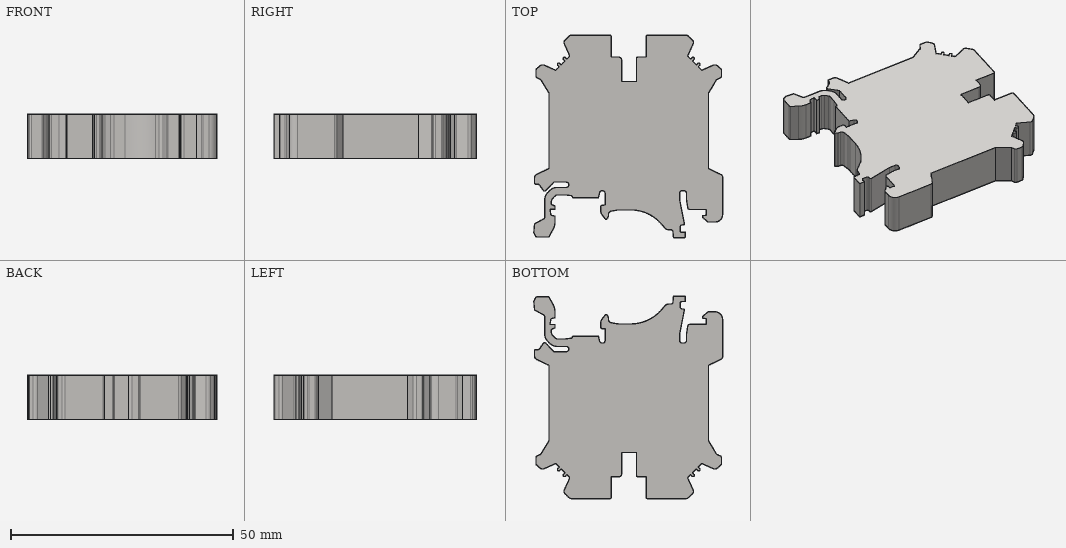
import cadquery as cq
import math

THICKNESS = 10.0
HEIGHT = 45.65

WALL_X = 18.0
WALL_TOP = 32.6
WALL_BOTTOM = 15.6
RIGHT_SIDE_X = 21.2

OPENING_HALF_WIDTH = 3.93
OPENING_FLOOR = 40.7
SLOT_HALF_WIDTH = 1.65
SLOT_CENTER_X = 0.1
SLOT_FLOOR = 35.25
LEFT_LIP_RADIUS = 0.75
RIGHT_LIP_RADIUS = 0.3

SHOULDER_TOP = (13.3, 40.9)
SHOULDER_LENGTH = 4.47
SHOULDER_RUN = SHOULDER_LENGTH * math.sqrt(0.5)
SHOULDER_END = (SHOULDER_TOP[0] + SHOULDER_RUN, SHOULDER_TOP[1] - SHOULDER_RUN)

RIB_WIDTH = 0.65
RIB_REACH = 0.45
RIB_FIRST = 1.25
RIB_PITCH = 1.83

SEAT_LEFT_Y = 9.0
SEAT_RIGHT_Y = 6.35
SLIT_TOP = 10.55
ARCH_Y = 6.25
ARCH_RADIUS = 9.15

ARM_SLOT_TOP = 12.5
ARM_SLOT_BOTTOM = 11.35
ARM_SLOT_RADIUS = 0.55
ARM_OUTER_X = -18.95
ARM_INNER_X = -17.4
ARM_TOOTH_X = -16.55
FOOT_Y = 0.15


def rounded_profile(corners):
    """Closed outline through (x, y[, radius]) corners, each blended by a tangent arc."""
    path = None
    for i, corner in enumerate(corners):
        point = cq.Vector(*corner[:2])
        radius = corner[2] if len(corner) > 2 else 0
        to_previous = (cq.Vector(*corners[i - 1][:2]) - point).normalized()
        to_next = (cq.Vector(*corners[(i + 1) % len(corners)][:2]) - point).normalized()
        half_angle = to_previous.getAngle(to_next) / 2
        setback = radius / math.tan(half_angle)
        start = point + to_previous * setback
        path = path.lineTo(start.x, start.y) if path else cq.Workplane("XY").moveTo(start.x, start.y)
        if radius:
            bisector = (to_previous + to_next).normalized()
            middle = point + bisector * (radius / math.sin(half_angle) - radius)
            end = point + to_next * setback
            path = path.threePointArc((middle.x, middle.y), (end.x, end.y))
    return path.close()


def upper_right(lip_radius, slot_half_width):
    """Top half of one side, from the slot floor outwards and down to the side wall."""
    return [
        (slot_half_width, SLOT_FLOOR),
        (slot_half_width, OPENING_FLOOR, lip_radius),
        (OPENING_HALF_WIDTH, OPENING_FLOOR),
        (OPENING_HALF_WIDTH, HEIGHT, 0.3),
        (13.2, HEIGHT, 0.9),
        (14.75, 44.15, 0.7),
        (*SHOULDER_TOP, 0.27),
        SHOULDER_END,
        (19.55, 39.1, 0.9),
        (20.9, 37.95, 0.45),
        (20.9, 36.1, 0.45),
        (19.8, 35.6),
        (WALL_X, WALL_TOP),
    ]


def mirrored(corners):
    """The same corners on the -X side, in reverse order."""
    return [(-x, *rest) for x, *rest in reversed(corners)]


right_hook = [
    (WALL_X, WALL_BOTTOM),
    (RIGHT_SIDE_X, 14.05, 0.7),
    (RIGHT_SIDE_X, 3.5, 1.8),
    (17.85, 3.5, 0.45),
    (16.55, 4.65, 0.25),
    (16.55, 4.98),
    (17.45, 5.1),
    (17.45, SEAT_RIGHT_Y),
    (13.35, SEAT_RIGHT_Y, 0.55),
    (12.95, 8.7),
    (12.95, SLIT_TOP, 0.45),
]

right_leg = [
    (11.5, SLIT_TOP, 0.45),
    (11.5, 8.55),
    (12.6, 2.9, 0.27),
    (11.65, 2.85, 0.3),
    (11.65, 1.3, 0.25),
    (12.75, 1.3),
    (12.75, 0.0, 0.2),
    (10.05, 0.0, 0.2),
    (9.9, 1.8, 0.45),
    (8.5, 1.8, 1.15),
    (4.65, ARCH_Y, ARCH_RADIUS),
]

left_leg = [
    (-2.35, ARCH_Y, 4.55),
    (-4.47, 5.9, 0.65),
    (-4.55, 4.75, 0.7),
    (-5.05, 3.95, 0.25),
    (-6.35, 5.55, 1.83),
    (-6.35, 7.35, 0.45),
    (-5.35, 7.4),
    (-5.35, SLIT_TOP, 0.5),
    (-6.45, SLIT_TOP, 0.45),
    (-6.8, SEAT_LEFT_Y),
    (-12.6, SEAT_LEFT_Y),
    (-12.85, 9.45),
]

spring_arm = [
    (-14.35, 9.65),
    (-16.35, 9.65, 0.7),
    (ARM_INNER_X, 8.55, 0.9),
    (ARM_INNER_X, 7.5, 0.25),
    (ARM_TOOTH_X, 7.15),
    (ARM_TOOTH_X, 6.4),
    (-17.7, 6.4),
    (-17.5, 5.1),
    (ARM_TOOTH_X, 4.9),
    (ARM_TOOTH_X, 2.7, 3.65),
    (-18.0, FOOT_Y, 0.35),
    (-20.85, FOOT_Y, 0.55),
    (-21.4, 1.15, 0.7),
    (-21.25, 3.15),
    (ARM_OUTER_X, 4.4, 0.45),
    (ARM_OUTER_X, 9.5, 2.3),
    (-17.07, ARM_SLOT_BOTTOM, 2.3),
    (-13.5, ARM_SLOT_BOTTOM, ARM_SLOT_RADIUS),
    (-13.5, ARM_SLOT_TOP, ARM_SLOT_RADIUS),
    (-16.85, ARM_SLOT_TOP),
]

left_ear = [
    (-19.0, 10.25, 0.35),
    (-20.22, 12.05, 0.45),
    (-21.25, 12.05, 0.27),
    (-21.25, 14.05, 0.9),
    (-WALL_X, WALL_BOTTOM),
]


def grip_rib(distance):
    """Round-ended rib square to the right shoulder, rooted inside the body."""
    length = 2 * RIB_REACH + RIB_WIDTH
    along = distance * math.sqrt(0.5)
    return (
        cq.Workplane("XY")
        .center(SHOULDER_TOP[0] + along, SHOULDER_TOP[1] - along)
        .slot2D(length, RIB_WIDTH, 45)
        .extrude(THICKNESS)
    )


outline = (
    upper_right(RIGHT_LIP_RADIUS, SLOT_HALF_WIDTH + SLOT_CENTER_X)
    + right_hook
    + right_leg
    + left_leg
    + spring_arm
    + left_ear
    + mirrored(upper_right(LEFT_LIP_RADIUS, SLOT_HALF_WIDTH - SLOT_CENTER_X))
)
result = rounded_profile(outline).extrude(THICKNESS)

for rib_distance in (RIB_FIRST, RIB_FIRST + RIB_PITCH):
    rib = grip_rib(rib_distance)
    result = result.union(rib).union(rib.mirror("YZ"))